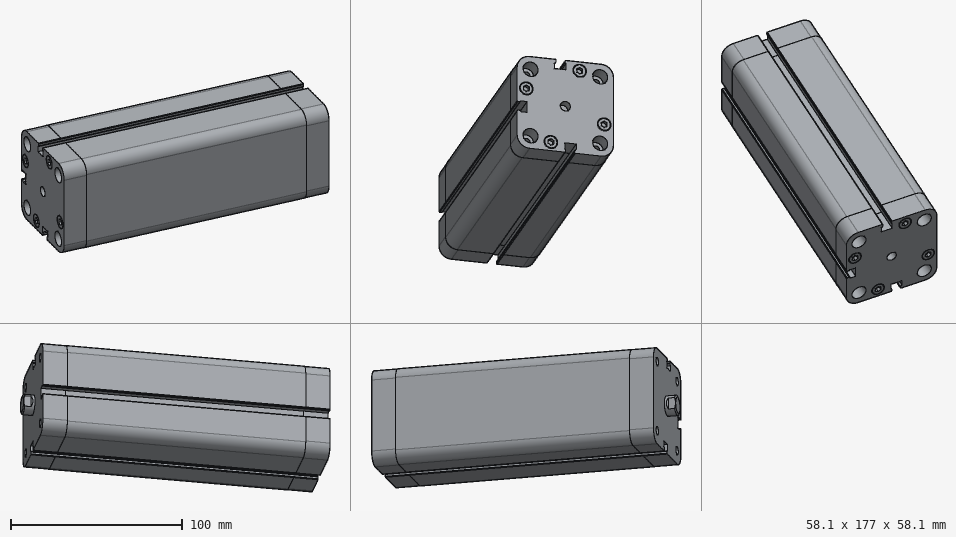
import cadquery as cq
import math


total_length = 177.0
rod_projection = 6.5
housing_length = total_length - rod_projection
cap_length = 14.5
rear_cap_start = housing_length - cap_length
barrel_length = rear_cap_start - cap_length
cap_width = 58.1
cap_corner_radius = 7.5
barrel_width = 58.0
barrel_corner_radius = 7.0

slot_depth = 5.9
slot_mouth_left = -6.0
slot_mouth_right = 0.25
slot_lip_chamfer = 0.45
slot_throat_left = slot_mouth_left + slot_lip_chamfer
slot_throat_right = slot_mouth_right - slot_lip_chamfer
slot_lip_depth = 1.6
slot_left_undercut = 1.0
slot_right_undercut = 0.5
slot_turns = (0, 90, 180)

mount_pitch = 42.0
mount_hole_diameter = 4.92
mount_bore_diameter = 9.0
mount_bore_depth = 10.0

screw_radial_offset = 23.5
screw_side_offset = 8.7
screw_recess_diameter = 8.0
screw_head_diameter = 7.5
screw_gap_depth = 1.0
socket_across_flats = 3.5
socket_depth = 2.5
socket_turn = 90
screw_turns = (0, 90, 180, 270)

centre_hole_diameter = 6.0
centre_hole_depth = 6.0

rod_diameter = 12.0
rod_across_flats = 10.0
rod_flat_length = 4.3
rod_chamfer_length = 1.2
rod_chamfer_radial = 0.6


def end_plane(y):
    """Sketch plane across the cylinder axis: local x is X, local y is Z, normal is -Y."""
    return cq.Workplane("XZ", origin=(0, y, 0))


def rounded_bar(width, radius, start, length):
    """Square bar along +Y with rounded long edges."""
    bar = end_plane(start).rect(width, width).extrude(-length)
    return bar.edges("|Y").fillet(radius)


def turned(shape, angle):
    """Turn a shape about the cylinder axis, counter-clockwise as seen from -Y."""
    return shape.rotate((0, 0, 0), (0, -1, 0), angle)


def make_housing():
    """Barrel between two slightly wider end caps."""
    barrel = rounded_bar(barrel_width, barrel_corner_radius, cap_length, barrel_length)
    front_cap = rounded_bar(cap_width, cap_corner_radius, 0, cap_length)
    rear_cap = rounded_bar(cap_width, cap_corner_radius, rear_cap_start, cap_length)
    return barrel.union(front_cap).union(rear_cap)


def make_slot(section_width, start, length):
    """Undercut slot cutter for the top face of one housing section, sunk from that section's surface."""
    surface = section_width / 2
    lip_bottom = surface - slot_lip_depth
    floor = surface - slot_depth
    profile = [
        (slot_mouth_left, surface),
        (slot_throat_left, surface - slot_lip_chamfer),
        (slot_throat_left, lip_bottom),
        (slot_throat_left - slot_left_undercut, lip_bottom - slot_left_undercut),
        (slot_throat_left - slot_left_undercut, floor),
        (slot_throat_right + slot_right_undercut, floor),
        (slot_throat_right + slot_right_undercut, lip_bottom - slot_right_undercut),
        (slot_throat_right, lip_bottom),
        (slot_throat_right, surface - slot_lip_chamfer),
        (slot_mouth_right, surface),
    ]
    return end_plane(start).polyline(profile).close().extrude(-length)


def make_mounting_holes():
    """Four through holes, each with a wider bore at the plain end face."""
    through = end_plane(0).rect(mount_pitch, mount_pitch, forConstruction=True).vertices()
    through = through.circle(mount_hole_diameter / 2).extrude(-housing_length)
    bores = end_plane(0).rect(mount_pitch, mount_pitch, forConstruction=True).vertices()
    bores = bores.circle(mount_bore_diameter / 2).extrude(-mount_bore_depth)
    return through.union(bores)


def make_screw_cuts(angle):
    """Clearance ring around one screw head and the hexagon socket in it."""
    turn = math.radians(angle)
    x = screw_side_offset * math.cos(turn) - screw_radial_offset * math.sin(turn)
    z = screw_side_offset * math.sin(turn) + screw_radial_offset * math.cos(turn)
    ring = end_plane(0).center(x, z).circle(screw_recess_diameter / 2).circle(screw_head_diameter / 2)
    ring = ring.extrude(-screw_gap_depth)
    corner_diameter = socket_across_flats / math.cos(math.pi / 6)
    socket = end_plane(0).polygon(6, corner_diameter).extrude(-socket_depth)
    socket = turned(socket, socket_turn).translate((x, 0, z))
    return ring.union(socket)


def make_centre_hole():
    """Blind hole on the cylinder axis."""
    return end_plane(0).circle(centre_hole_diameter / 2).extrude(-centre_hole_depth)


def make_rod():
    """Rod end with a tapered tip and two wrench flats facing +X and -X that ramp out to the full rod."""
    rod = end_plane(housing_length).circle(rod_diameter / 2).extrude(-rod_projection)
    rod = rod.faces(">Y").chamfer(rod_chamfer_radial, rod_chamfer_length)
    half_flats = rod_across_flats / 2
    half_rod = rod_diameter / 2
    flat_start = total_length - rod_flat_length
    ramp_start = flat_start - (half_rod - half_flats)
    outline = [
        (-half_rod, housing_length),
        (half_rod, housing_length),
        (half_rod, ramp_start),
        (half_flats, flat_start),
        (half_flats, total_length),
        (-half_flats, total_length),
        (-half_flats, flat_start),
        (-half_rod, ramp_start),
    ]
    flats = cq.Workplane("XY").polyline(outline).close().extrude(half_rod, both=True)
    return rod.intersect(flats)


result = make_housing()
front_cap_slot = make_slot(cap_width, 0, cap_length)
barrel_slot = make_slot(barrel_width, cap_length, barrel_length)
rear_cap_slot = make_slot(cap_width, rear_cap_start, cap_length)
for slot_turn in slot_turns:
    for slot in (front_cap_slot, barrel_slot, rear_cap_slot):
        result = result.cut(turned(slot, slot_turn))
result = result.cut(make_mounting_holes())
for screw_turn in screw_turns:
    result = result.cut(make_screw_cuts(screw_turn))
result = result.cut(make_centre_hole())
result = result.union(make_rod())